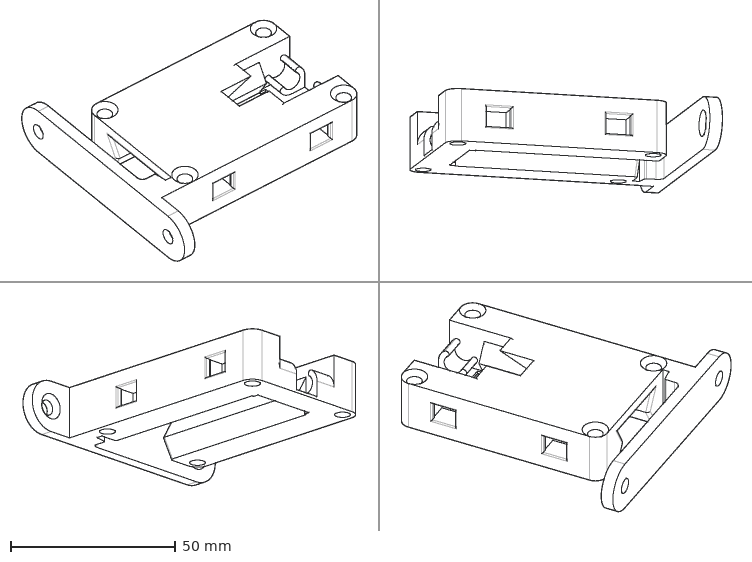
import cadquery as cq
import math

pick_margin = 0.1

height = 16.3
plate_length = 79.8
plate_thickness = 4.0
body_half_width = 23.65
body_front = 12.2
body_back = 82.1
body_middle = (body_front + body_back) / 2

screw_diameter = 4.8
countersink_diameter = 8.05
countersink_angle = 90
corner_radius = 4.0
plate_hole_half_spacing = plate_length / 2 - height / 2

arm_width = 10.0
arm_neck_width = 5.75
arm_step = 10.1
arm_shoulder = 9.45
arm_tip_radius = 0.5
arm_root_radius = 2.0

mouth_half_width = 11.8
mouth_front = 61.1
slot_half_width = 4.4
slot_front = 49.5

waist_half_width = 8.3
flank_angle = math.radians(60)
flank_height = (mouth_half_width - waist_half_width) * math.tan(flank_angle)
waist_height = flank_height
ceiling_height = 2 * flank_height
channel_back = 70.2
channel_rim_radius = 1.0
ceiling_ramp_slope = 0.42

floor_thickness = 1.0
floor_front = 72.1
floor_hole_half_width = 11.1

clip_outer_radius = 5.0
clip_thickness = 2.0
clip_inner_radius = clip_outer_radius - clip_thickness
clip_center_y = body_back - clip_outer_radius
clip_center_z = floor_thickness + clip_outer_radius
clip_back_tip_angle = 55
clip_front_tip_angle = 205
clip_bottom_angle = 270
clip_hollow_angle = (clip_back_tip_angle + 360 + clip_front_tip_angle) / 2

pocket_length = 8.05
pocket_height = 6.2
pocket_rim_radius = 0.4
pocket_depth = 7.4
pocket_half_spacing = 19.0
side_wall = 2.0
pocket_widening = 0.25


def block(x0, x1, y0, y1, z0, z1):
    """Box between two opposite corners."""
    return cq.Workplane("XY").box(x1 - x0, y1 - y0, z1 - z0, centered=False).translate((x0, y0, z0))


def make_body():
    """Solid block with three rounded corners; the arm continues the fourth."""
    body = block(-body_half_width, body_half_width, body_front, body_back, 0, height)
    return body.edges("|Z").edges("<X or >Y").fillet(corner_radius)


def make_plate():
    """Round-ended plate with screw holes countersunk from its inner face."""
    plate = cq.Workplane("XZ").center(0, height / 2).slot2D(plate_length, height).extrude(-plate_thickness)
    return (
        plate.faces(">Y")
        .workplane(origin=(0, plate_thickness, height / 2))
        .pushPoints([(side * plate_hole_half_spacing, 0) for side in (-1, 1)])
        .cskHole(screw_diameter, countersink_diameter, countersink_angle)
    )


def make_arm():
    """Stepped arm that runs flush with one side of the body."""
    outer = body_half_width
    neck = outer - arm_neck_width
    inner = outer - arm_width
    joint = body_front + corner_radius
    arm = (
        cq.Workplane("XY")
        .moveTo(outer, 0)
        .lineTo(outer, joint)
        .lineTo(neck, joint)
        .lineTo(neck, arm_step)
        .lineTo(inner, arm_shoulder)
        .lineTo(inner, plate_thickness)
        .lineTo(inner, 0)
        .close()
        .extrude(height)
    )
    tip = cq.selectors.NearestToPointSelector((inner, arm_shoulder, height / 2))
    return arm.edges("|Z").edges(tip).fillet(arm_tip_radius)


def make_channel():
    """Waisted channel, open below and at the front."""
    length = channel_back - body_front
    profile = [
        (-mouth_half_width, 0),
        (mouth_half_width, 0),
        (waist_half_width, waist_height),
        (mouth_half_width, ceiling_height),
        (-mouth_half_width, ceiling_height),
        (-waist_half_width, waist_height),
    ]
    return cq.Workplane("XZ", origin=(0, body_front, 0)).polyline(profile).close().extrude(-length)


def make_ceiling_ramp():
    """Wedge that lifts the channel ceiling up to the top face at the mouth."""
    run = (height - ceiling_height) / ceiling_ramp_slope
    return (
        cq.Workplane("YZ", origin=(-mouth_half_width, 0, 0))
        .polyline([(mouth_front, height), (mouth_front, ceiling_height), (mouth_front - run, ceiling_height)])
        .close()
        .extrude(2 * mouth_half_width)
    )


def make_mouth():
    """Mouth, clip space above the floor, slot ahead of the mouth and hole through the floor."""
    mouth = block(-mouth_half_width, mouth_half_width, mouth_front, body_back, ceiling_height, height)
    clip_space = block(-mouth_half_width, mouth_half_width, channel_back, body_back, floor_thickness, height)
    slot = block(-slot_half_width, slot_half_width, slot_front, mouth_front, waist_height, height)
    floor_hole = block(
        -floor_hole_half_width, floor_hole_half_width, channel_back, floor_front, 0, floor_thickness
    )
    return mouth.union(clip_space).union(slot).union(floor_hole)


def clip_point(radius, angle):
    """Y and Z of a point around the clip centre, the angle counted from +Y towards +Z."""
    turn = math.radians(angle)
    return clip_center_y + radius * math.cos(turn), clip_center_z + radius * math.sin(turn)


def make_clip(x_start):
    """Open ring that stands on the floor, filled in below its back half."""
    width = mouth_half_width - slot_half_width
    return (
        cq.Workplane("YZ", origin=(x_start, 0, 0))
        .moveTo(body_back, 0)
        .lineTo(body_back, clip_center_z)
        .threePointArc(
            clip_point(clip_outer_radius, clip_back_tip_angle / 2),
            clip_point(clip_outer_radius, clip_back_tip_angle),
        )
        .tangentArcPoint(clip_point(clip_inner_radius, clip_back_tip_angle), relative=False)
        .threePointArc(
            clip_point(clip_inner_radius, clip_hollow_angle),
            clip_point(clip_inner_radius, clip_front_tip_angle),
        )
        .tangentArcPoint(clip_point(clip_outer_radius, clip_front_tip_angle), relative=False)
        .threePointArc(
            clip_point(clip_outer_radius, (clip_front_tip_angle + clip_bottom_angle) / 2),
            clip_point(clip_outer_radius, clip_bottom_angle),
        )
        .lineTo(clip_center_y, 0)
        .close()
        .extrude(width)
    )


def make_pocket(side, y):
    """Rectangular pocket in a side wall, longer behind the wall than at its opening."""
    wall = cq.Workplane("YZ", origin=(side * body_half_width, y, height / 2))
    opening = wall.rect(pocket_length, pocket_height).extrude(-side * pocket_depth)
    inner = (
        wall.workplane(offset=-side * side_wall)
        .rect(pocket_length + 2 * pocket_widening, pocket_height)
        .extrude(-side * (pocket_depth - side_wall))
    )
    return opening.union(inner)


def pocket_opening(side, y):
    """Selector for the edges where a pocket breaks the side face."""
    x = side * body_half_width
    reach_y = pocket_length / 2 + pick_margin
    reach_z = pocket_height / 2 + pick_margin
    return cq.selectors.BoxSelector(
        (x - pick_margin, y - reach_y, height / 2 - reach_z),
        (x + pick_margin, y + reach_y, height / 2 + reach_z),
    )


body = make_body().cut(make_channel())
rim_box = cq.selectors.BoxSelector(
    (-mouth_half_width - pick_margin, body_front - pick_margin, pick_margin),
    (mouth_half_width + pick_margin, body_front + pick_margin, ceiling_height + pick_margin),
)
body = body.edges(rim_box).fillet(channel_rim_radius)
body = body.cut(make_ceiling_ramp()).cut(make_mouth())
for side in (-1, 1):
    for offset in (-pocket_half_spacing, pocket_half_spacing):
        y = body_middle + offset
        body = body.cut(make_pocket(side, y))
        body = body.edges(pocket_opening(side, y)).fillet(pocket_rim_radius)
for x_start in (-mouth_half_width, slot_half_width):
    body = body.union(make_clip(x_start))

frame = make_plate().union(make_arm())
root = cq.selectors.NearestToPointSelector((body_half_width - arm_width, plate_thickness, height / 2))
frame = frame.edges("|Z").edges(root).fillet(arm_root_radius)

result = body.union(frame)
screw_x = body_half_width - corner_radius
screw_rows = (body_front + corner_radius, body_back - corner_radius)
screws = [(side * screw_x, y) for side in (-1, 1) for y in screw_rows]
result = (
    result.faces(">Z")
    .workplane(origin=(0, 0, height))
    .pushPoints(screws)
    .cskHole(screw_diameter, countersink_diameter, countersink_angle)
)